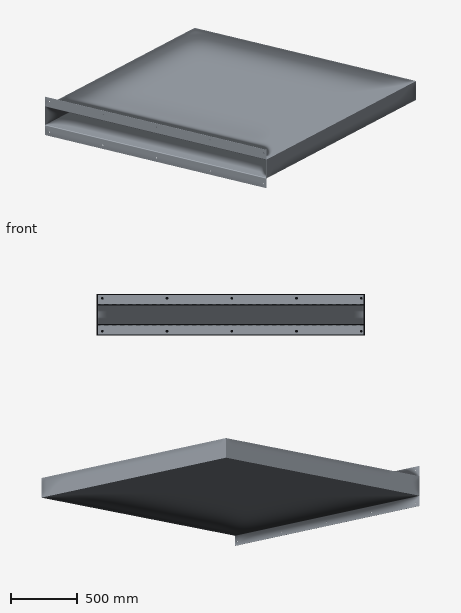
import cadquery as cq
import math

width = 2000.0
depth = 2000.0
overall_height = 306.0
body_height = 150.0
sheet = 3.0
bend_radius = 3.0

hole_diameter = 10.0
holes_per_row = 5
hole_pitch = 484.0
first_hole_margin = 40.0
hole_edge_margin = 30.0

front_y = -depth / 2
opening_width = width - 2 * sheet
opening_height = body_height - 2 * sheet
bend_outer_radius = bend_radius + sheet
hole_row_z = overall_height / 2 - hole_edge_margin


def centred_box(size_x, size_z, y_start, y_end):
    """Box centred on X and Z that spans y_start to y_end."""
    box = cq.Workplane("XY").box(size_x, y_end - y_start, size_z)
    return box.translate((0, (y_start + y_end) / 2, 0))


def make_tray():
    """Sheet-metal box, open at the front, with a closed back."""
    outside = centred_box(width, body_height, front_y, depth / 2)
    inside = centred_box(opening_width, opening_height, front_y, depth / 2 - sheet)
    return outside.cut(inside)


def make_flange(side):
    """Flange turned outward from the roof (side = 1) or the floor (side = -1).

    The profile is a sheet that leaves the roof or floor and bends into the front plane.
    """
    inner_z = opening_height / 2
    outer_z = inner_z + sheet
    tip_z = overall_height / 2
    back_y = front_y + sheet
    bend_end_y = front_y + bend_outer_radius
    bend_end_z = inner_z + bend_outer_radius
    diagonal = math.sqrt(0.5)

    front_mid_y = bend_end_y - bend_outer_radius * diagonal
    back_mid_y = bend_end_y - bend_radius * diagonal
    front_mid_z = bend_end_z - bend_outer_radius * diagonal
    back_mid_z = bend_end_z - bend_radius * diagonal
    return (
        cq.Workplane("YZ")
        .moveTo(bend_end_y, side * inner_z)
        .threePointArc((front_mid_y, side * front_mid_z), (front_y, side * bend_end_z))
        .lineTo(front_y, side * tip_z)
        .lineTo(back_y, side * tip_z)
        .lineTo(back_y, side * bend_end_z)
        .threePointArc((back_mid_y, side * back_mid_z), (bend_end_y, side * outer_z))
        .close()
        .extrude(width / 2, both=True)
    )


def make_holes():
    """Pins that cut one row of holes through each flange."""
    first_x = -width / 2 + first_hole_margin
    points = [
        (first_x + column * hole_pitch, side * hole_row_z)
        for column in range(holes_per_row)
        for side in (-1, 1)
    ]
    plane = cq.Workplane("XZ", origin=(0, front_y, 0))
    return plane.pushPoints(points).circle(hole_diameter / 2).extrude(-sheet)


def trim_bend_zone(tray):
    """Remove the square roof and floor edges that the rounded bends replace."""
    zone_end = front_y + bend_outer_radius
    full_slot = centred_box(opening_width, body_height, front_y, zone_end)
    return tray.cut(full_slot)


body = trim_bend_zone(make_tray())
for side in (-1, 1):
    body = body.union(make_flange(side))
result = body.cut(make_holes())